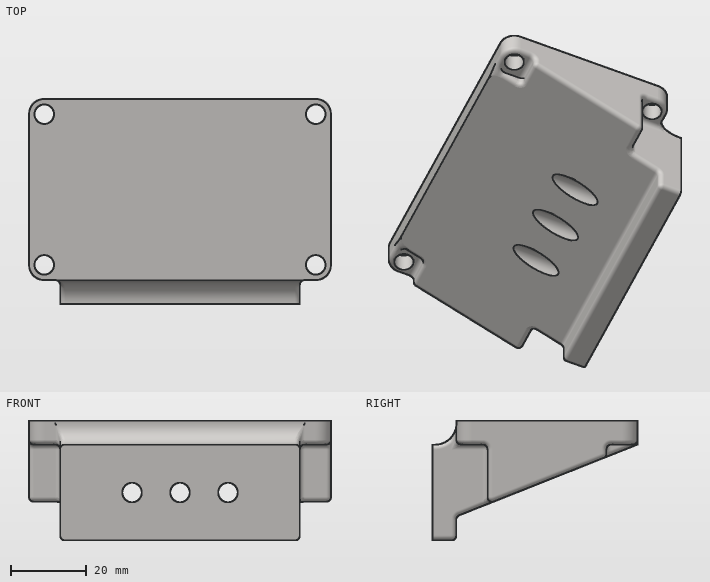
import cadquery as cq
import math

plate_width = 80.01
plate_depth = 48.01
plate_corner_radius = 4.06
ear_thickness = 6.35

slope_end_depth = 25.4
pocket_length = 8.255

total_height = 31.75
flange_width = 63.5
flange_thickness = 6.35
scoop_radius = 5.588

hole_diameter = 5.11
flange_hole_count = 3
flange_hole_spacing = 12.7
flange_hole_depth = 19.05

edge_radius = 1.27

half_width = plate_width / 2
half_flange = flange_width / 2
ear_width = half_width - half_flange
front_step = pocket_length
back_step = plate_depth - pocket_length

arc_inset = 1 - math.sqrt(0.5)


def slope_z(y):
    """Height of the sloped underside at a distance y behind the plate front."""
    return -slope_end_depth + (slope_end_depth - ear_thickness) * y / plate_depth


ear_middle = half_flange + ear_width / 2
front_wall_middle = (slope_z(front_step) - ear_thickness) / 2
back_wall_middle = (slope_z(back_step) - ear_thickness) / 2


def make_wedge():
    """Plate and sloped body as one wedge with rounded vertical corners."""
    profile = (
        cq.Workplane("YZ")
        .lineTo(plate_depth, 0)
        .lineTo(plate_depth, slope_z(plate_depth))
        .lineTo(0, slope_z(0))
        .close()
    )
    wedge = profile.extrude(half_width, both=True)
    return wedge.edges("|Z").fillet(plate_corner_radius)


def make_ear_pockets():
    """Blocks that clear the space under the four plate corners."""
    corners = [(x, y) for x in (-half_width, half_width) for y in (0, plate_depth)]
    return (
        cq.Workplane("XY", origin=(0, 0, -ear_thickness))
        .pushPoints(corners)
        .rect(2 * ear_width, 2 * pocket_length)
        .extrude(-total_height)
    )


def make_flange():
    """Upright front flange with the concave scoop along its top."""
    profile = (
        cq.Workplane("YZ")
        .moveTo(0, -total_height)
        .lineTo(-flange_thickness, -total_height)
        .lineTo(-flange_thickness, -ear_thickness)
        .lineTo(-scoop_radius, -ear_thickness)
        .radiusArc((0, scoop_radius - ear_thickness), -scoop_radius)
        .close()
    )
    return profile.extrude(half_flange, both=True)


def round_edges(body, points):
    """Round the edge nearest to each point and its mirror image across X = 0."""
    solid = body.val()
    edges = []
    for x, y, z in points:
        for side in (-1, 1):
            marker = cq.Vertex.makeVertex(side * x, y, z)
            nearest = min(solid.Edges(), key=lambda edge: edge.distance(marker))
            if not any(nearest.isSame(edge) for edge in edges):
                edges.append(nearest)
    return cq.Workplane(solid.fillet(edge_radius, edges))


def round_inner_corners(body):
    """Fillet the concave corners of the pockets and around the flange."""
    return round_edges(body, [
        (half_flange, 0, -ear_thickness / 2),
        (0, 0, slope_z(0)),
        (half_flange, front_step / 2, -ear_thickness),
        (ear_middle, front_step, -ear_thickness),
        (half_flange, front_step, front_wall_middle),
        (ear_middle, back_step, -ear_thickness),
        (half_flange, back_step, back_wall_middle),
    ])


def round_outer_edges(body):
    """Round the convex edges of the ears, slope and flange."""
    body_middle = plate_depth / 2
    back_pocket_middle = (back_step + plate_depth) / 2
    corner_inset = plate_corner_radius * arc_inset
    corner_x = half_width - corner_inset
    scoop_inset = scoop_radius * arc_inset
    return round_edges(body, [
        (corner_x, corner_inset, -ear_thickness),
        (corner_x, plate_depth - corner_inset, -ear_thickness),
        (half_width, front_step, front_wall_middle),
        (half_width, back_step, back_wall_middle),
        (ear_middle, front_step, slope_z(front_step)),
        (half_width, body_middle, slope_z(body_middle)),
        (ear_middle, back_step, slope_z(back_step)),
        (half_flange, back_pocket_middle, slope_z(back_pocket_middle)),
        (half_flange, 0, (slope_z(0) - total_height) / 2),
        (half_flange, -flange_thickness / 2, -total_height),
        (0, 0, -total_height),
        (half_flange, scoop_inset - scoop_radius, scoop_inset - ear_thickness),
    ])


def make_ear_holes():
    """Vertical through holes, concentric with the plate corners."""
    return (
        cq.Workplane("XY", origin=(0, plate_depth / 2, 0))
        .rarray(plate_width - 2 * plate_corner_radius, plate_depth - 2 * plate_corner_radius, 2, 2)
        .circle(hole_diameter / 2)
        .extrude(-total_height)
    )


def make_flange_holes():
    """Row of holes running straight back through the flange and the slope."""
    return (
        cq.Workplane("XZ", origin=(0, -flange_thickness, -flange_hole_depth))
        .rarray(flange_hole_spacing, 1, flange_hole_count, 1)
        .circle(hole_diameter / 2)
        .extrude(-(flange_thickness + plate_depth))
    )


body = make_wedge().cut(make_ear_pockets()).union(make_flange())
body = round_inner_corners(body)
body = round_outer_edges(body)
result = body.cut(make_ear_holes()).cut(make_flange_holes())